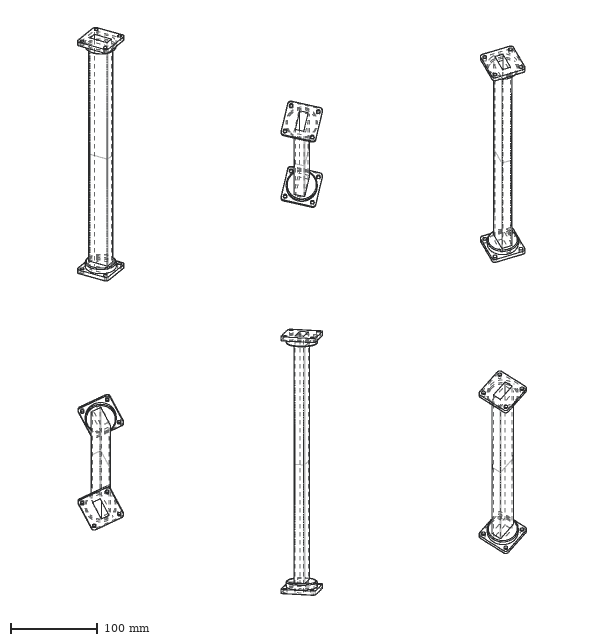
import cadquery as cq

length = 304.8
flange_side = 41.0

plate_thickness = 5.0
corner_radius = 3.7
collar_diameter = 36.0
collar_height = 6.7
collar_chamfer = 1.2

hole_diameter = 4.3
hole_spacing_x = 31.0
hole_spacing_y = 32.3

bore_x = 23.0
bore_y = 10.0
wall = 1.5
tube_edge_radius = 1.0
pinch = 0.15

half_length = length / 2
tube_x = bore_x + 2 * wall
tube_y = bore_y + 2 * wall


def lower_flange():
    """Plate and collar, with the mating face at the bottom of the part."""
    plate = (
        cq.Workplane("XY", origin=(0, 0, -half_length))
        .rect(flange_side, flange_side)
        .extrude(plate_thickness)
        .edges("|Z")
        .fillet(corner_radius)
    )
    collar = (
        cq.Workplane("XY", origin=(0, 0, -half_length + plate_thickness))
        .circle(collar_diameter / 2)
        .extrude(collar_height)
        .faces(">Z")
        .chamfer(collar_chamfer)
    )
    holes = (
        cq.Workplane("XY", origin=(0, 0, -half_length))
        .rect(hole_spacing_x, hole_spacing_y, forConstruction=True)
        .vertices()
        .circle(hole_diameter / 2)
        .extrude(plate_thickness + collar_height)
    )
    return plate.union(collar).cut(holes)


def tube_section(inset):
    """Rounded rectangle across the tube, moved inward by the given amount."""
    return (
        cq.Sketch()
        .rect(tube_x - 2 * inset, tube_y - 2 * inset)
        .vertices()
        .fillet(tube_edge_radius)
    )


def lower_tube():
    """Half of the tube, narrowing from the flange to mid-length."""
    to_middle = cq.Location(cq.Vector(0, 0, half_length))
    end_section = tube_section(0)
    middle_section = tube_section(pinch).moved(to_middle)
    return (
        cq.Workplane("XY", origin=(0, 0, -half_length))
        .placeSketch(end_section, middle_section)
        .loft(ruled=True)
    )


lower_half = lower_flange().union(lower_tube())
upper_half = lower_half.mirror("XY")
bore = cq.Workplane("XY").box(bore_x, bore_y, length)

result = lower_half.union(upper_half).cut(bore)